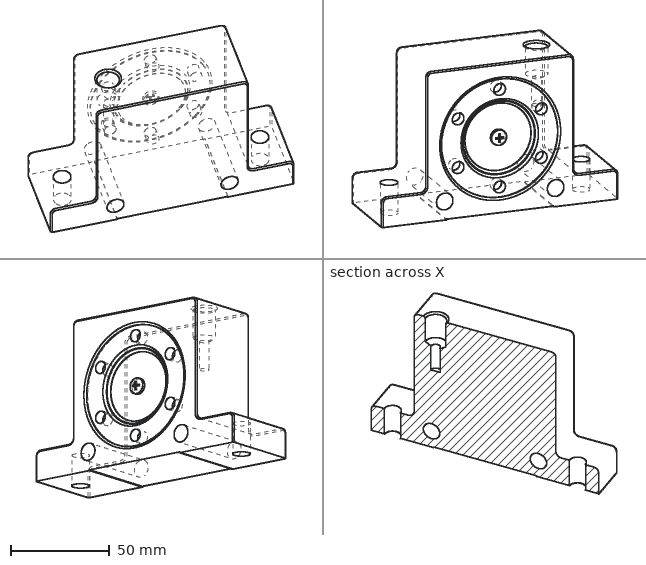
import cadquery as cq
import math

width = 43.0
length = 128.0
height = 80.0
block_length = 80.0
flange_height = 16.0
corner_radius = 3.0
edge_chamfer = 0.8
relief_length = 58.1
relief_depth = 0.4

mount_dia = 9.0
flange_hole_spacing = 104.0
cross_hole_spacing = 60.0
cross_hole_height = 10.0

cover_height = 40.0
cover_dia = 63.0
cover_depth = 0.6
seat_chamfer = 1.3
window_dia = 42.0
window_step_dia = 39.4
window_floor_dia = 35.8
window_step_depth = 1.9
window_floor_depth = 3.1
window_ledge_width = 0.4
window_ledge_radius = window_step_dia / 2 - window_ledge_width
window_seat_depth = window_step_depth + window_ledge_radius - window_floor_dia / 2

bolt_count = 6
bolt_circle_dia = 52.0
bolt_dia = 6.3
bolt_depth = 6.4
drill_tip_angle = 118.0

head_dia = 8.2
head_rim_height = 1.5
head_dome_height = 1.2
cross_slot_length = 4.2
cross_slot_width = 0.6
cross_slot_depth = 1.0
cross_centre_dia = 1.5

port_y = -27.8
port_dia = 11.4
port_mouth_dia = 13.5
port_depth = 15.4
port_bore_dia = 5.0
port_bore_depth = 32.0

face_x = -width / 2


def drill_tip(large_radius, small_radius=0.0):
    """Length of a drill-point cone between two radii."""
    return (large_radius - small_radius) / math.tan(math.radians(drill_tip_angle / 2))


def turned(profile):
    """Revolve (depth, radius) points about the cover axis, with depth measured inward from the -X face."""
    return (
        cq.Workplane("XY")
        .polyline(profile)
        .close()
        .revolve(360, (0, 0, 0), (1, 0, 0))
        .translate((face_x, 0, cover_height))
    )


def make_body():
    half_length = length / 2
    half_block = block_length / 2
    body = (
        cq.Workplane("YZ")
        .moveTo(-half_length, 0)
        .lineTo(-half_length, flange_height)
        .lineTo(-half_block, flange_height)
        .lineTo(-half_block, height)
        .lineTo(half_block, height)
        .lineTo(half_block, flange_height)
        .lineTo(half_length, flange_height)
        .lineTo(half_length, 0)
        .close()
        .extrude(width / 2, both=True)
    )
    bottom_corners = cq.selectors.StringSyntaxSelector("<Z")
    body = body.edges(cq.selectors.StringSyntaxSelector("|X") - bottom_corners).fillet(corner_radius)
    body = body.faces("<X or >X").edges("not <Z").chamfer(edge_chamfer)
    relief = cq.Workplane("XY").box(width, relief_length, relief_depth, centered=(True, True, False))
    return body.cut(relief)


def make_mounting_holes():
    vertical = (
        cq.Workplane("XY")
        .pushPoints([(0, side * flange_hole_spacing / 2) for side in (-1, 1)])
        .circle(mount_dia / 2)
        .extrude(height)
    )
    crosswise = (
        cq.Workplane("YZ")
        .pushPoints([(side * cross_hole_spacing / 2, cross_hole_height) for side in (-1, 1)])
        .circle(mount_dia / 2)
        .extrude(width, both=True)
    )
    return vertical.union(crosswise)


def make_cover_recess():
    cover_radius = cover_dia / 2
    return turned([
        (0, 0),
        (0, cover_radius + seat_chamfer),
        (seat_chamfer, cover_radius),
        (cover_depth, cover_radius),
        (cover_depth, window_dia / 2),
        (window_step_depth, window_step_dia / 2),
        (window_step_depth, window_ledge_radius),
        (window_seat_depth, window_floor_dia / 2),
        (window_floor_depth, window_floor_dia / 2),
        (window_floor_depth, 0),
    ])


def make_bolt_holes():
    radius = bolt_dia / 2
    hole = turned([
        (0, 0),
        (0, radius),
        (bolt_depth, radius),
        (bolt_depth + drill_tip(radius), 0),
    ]).translate((0, 0, bolt_circle_dia / 2))
    holes = cq.Workplane("XY")
    for index in range(bolt_count):
        angle = 360 * index / bolt_count
        holes = holes.add(hole.rotate((0, 0, cover_height), (1, 0, cover_height), angle))
    return holes.combine()


def make_screw_head():
    radius = head_dia / 2
    rim_depth = window_floor_depth - head_rim_height
    top_depth = rim_depth - head_dome_height
    sphere_radius = (radius**2 + head_dome_height**2) / (2 * head_dome_height)
    half_angle = math.asin(radius / sphere_radius) / 2
    dome_mid = (
        top_depth + sphere_radius * (1 - math.cos(half_angle)),
        sphere_radius * math.sin(half_angle),
    )
    head = (
        cq.Workplane("XY")
        .moveTo(window_floor_depth, 0)
        .lineTo(window_floor_depth, radius)
        .lineTo(rim_depth, radius)
        .threePointArc(dome_mid, (top_depth, 0))
        .close()
        .revolve(360, (0, 0, 0), (1, 0, 0))
    )
    recess_plane = cq.Workplane("YZ", origin=(top_depth, 0, 0))
    slot = recess_plane.rect(cross_slot_length, cross_slot_width).extrude(cross_slot_depth)
    centre = recess_plane.circle(cross_centre_dia / 2).extrude(cross_slot_depth)
    head = head.cut(slot).cut(slot.rotate((0, 0, 0), (1, 0, 0), 90)).cut(centre)
    return head.translate((face_x, 0, cover_height))


def make_air_port():
    mouth_radius = port_mouth_dia / 2
    radius = port_dia / 2
    bore_radius = port_bore_dia / 2
    return (
        cq.Workplane("XZ")
        .polyline([
            (0, 0),
            (mouth_radius, 0),
            (radius, radius - mouth_radius),
            (radius, -port_depth),
            (bore_radius, -port_depth - drill_tip(radius, bore_radius)),
            (bore_radius, -port_bore_depth),
            (0, -port_bore_depth),
        ])
        .close()
        .revolve(360, (0, 0, 0), (0, 1, 0))
        .translate((0, port_y, height))
    )


result = (
    make_body()
    .cut(make_mounting_holes())
    .cut(make_cover_recess())
    .cut(make_bolt_holes())
    .cut(make_air_port())
    .union(make_screw_head())
)